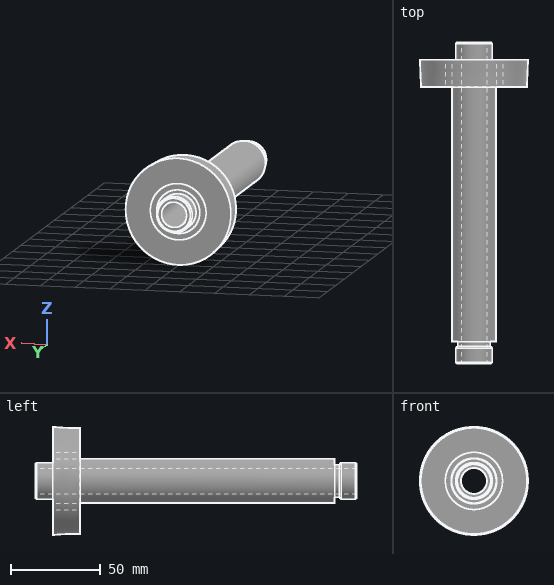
import cadquery as cq

LENGTH = 179.6

BORE_RADIUS = 7.2
TUBE_RADIUS = 12.4
SPIGOT_RADIUS = 10.2
NECK_RADIUS = 9.2
END_CHAMFER = 0.9
NECK_CHAMFER = SPIGOT_RADIUS - NECK_RADIUS
SPIGOT_LENGTH = 8.8
NECK_LENGTH = 2.5
SHOULDER_Y = -LENGTH + SPIGOT_LENGTH + NECK_CHAMFER + NECK_LENGTH

FLANGE_BACK_DIAMETER = 60.5
FLANGE_BACK_RADIUS = FLANGE_BACK_DIAMETER / 2
FLANGE_FRONT_RADIUS = 29.6
FLANGE_BACK_Y = -9.9
FLANGE_THICKNESS = 15.3
FLANGE_FRONT_Y = FLANGE_BACK_Y - FLANGE_THICKNESS
BUSHING_RADIUS = 16.0
LIP_THICKNESS = 0.5
LIP_HOLE_RADIUS = 12.8
SEAT_Y = FLANGE_FRONT_Y + LIP_THICKNESS


def revolve_about_y(profile_points):
    """Turn a closed (radius, y) outline into a solid of revolution about Y."""
    outline = cq.Workplane("XY").polyline(profile_points).close()
    return outline.revolve(360, (0, 0, 0), (0, 1, 0))


def make_arm():
    """Bored arm with a chamfered spigot at each end and a relief neck at the outlet."""
    spigot_edge = SPIGOT_RADIUS - END_CHAMFER
    return revolve_about_y([
        (BORE_RADIUS, 0),
        (spigot_edge, 0),
        (SPIGOT_RADIUS, -END_CHAMFER),
        (SPIGOT_RADIUS, FLANGE_BACK_Y),
        (TUBE_RADIUS, FLANGE_BACK_Y),
        (TUBE_RADIUS, SHOULDER_Y),
        (NECK_RADIUS, SHOULDER_Y),
        (NECK_RADIUS, SHOULDER_Y - NECK_LENGTH),
        (SPIGOT_RADIUS, SHOULDER_Y - NECK_LENGTH - NECK_CHAMFER),
        (SPIGOT_RADIUS, -LENGTH + END_CHAMFER),
        (spigot_edge, -LENGTH),
        (BORE_RADIUS, -LENGTH),
    ])


def make_flange():
    """Tapered wall flange, bored for the bushing up to a thin front lip."""
    return revolve_about_y([
        (BUSHING_RADIUS, FLANGE_BACK_Y),
        (FLANGE_BACK_RADIUS, FLANGE_BACK_Y),
        (FLANGE_FRONT_RADIUS, FLANGE_FRONT_Y),
        (LIP_HOLE_RADIUS, FLANGE_FRONT_Y),
        (LIP_HOLE_RADIUS, SEAT_Y),
        (BUSHING_RADIUS, SEAT_Y),
    ])


def make_bushing():
    """Ring filling the gap between arm and flange, from the flange's back face to its front lip."""
    return revolve_about_y([
        (TUBE_RADIUS, FLANGE_BACK_Y),
        (BUSHING_RADIUS, FLANGE_BACK_Y),
        (BUSHING_RADIUS, SEAT_Y),
        (TUBE_RADIUS, SEAT_Y),
    ])


arm = make_arm()
flange = make_flange()
bushing = make_bushing()
result = cq.Compound.makeCompound([arm.val(), flange.val(), bushing.val()])